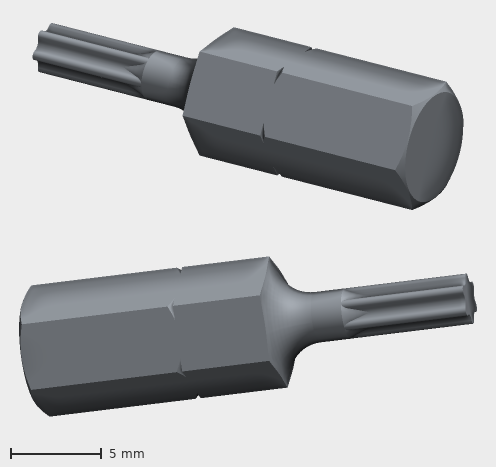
import cadquery as cq
import math


hex_sides = 6
total_length = 25.0
hex_across_flats = 6.35
hex_across_corners = hex_across_flats / math.cos(math.pi / hex_sides)
corner_radius = hex_across_corners / 2
shank_start = 11.0

end_chamfer_depth = 0.55
end_chamfer_angle = 30.0
end_chamfer_length = end_chamfer_depth * math.tan(math.radians(end_chamfer_angle))

notch_start = 16.0
notch_floor_radius = 3.35
notch_slope_angle = 45.0
groove_clearance = 1.0

neck_radius = 1.4
flare_radius = corner_radius - neck_radius
flare_start = shank_start - flare_radius

lobe_count = 6
star_end = 7.0
lobe_tip_radius = neck_radius
root_radius = 1.01
lobe_round = 0.28
runout_start = 5.5

lobe_center = lobe_tip_radius - lobe_round
half_pitch = math.pi / lobe_count
flute_round = (
    (lobe_center**2 + root_radius**2 - lobe_round**2 - 2 * lobe_center * root_radius * math.cos(half_pitch))
    / (2 * (lobe_round + lobe_center * math.cos(half_pitch) - root_radius))
)
flute_center = root_radius + flute_round


def polar(radius, angle):
    """Y and Z of a point on a circle about the X axis, at an angle from +Y."""
    return (radius * math.cos(angle), radius * math.sin(angle))


def revolve_about_x(outline):
    """Turn a closed (x, radius) outline around the X axis."""
    return outline.close().revolve(360, (0, 0, 0), (1, 0, 0))


def lobe_flute_joint(lobe_angle, side):
    """Point where a lobe tip runs tangent into the flute on its side (+1 or -1)."""
    lobe_y, lobe_z = polar(lobe_center, lobe_angle)
    flute_y, flute_z = polar(flute_center, lobe_angle + side * half_pitch)
    share = lobe_round / (lobe_round + flute_round)
    return (lobe_y + share * (flute_y - lobe_y), lobe_z + share * (flute_z - lobe_z))


def make_star():
    """Lobed star bar from the tip to the neck."""
    outline = cq.Workplane("YZ").moveTo(*lobe_flute_joint(0, -1))
    for index in range(lobe_count):
        lobe_angle = 2 * half_pitch * index
        next_lobe_angle = lobe_angle + 2 * half_pitch
        outline = outline.threePointArc(polar(lobe_tip_radius, lobe_angle), lobe_flute_joint(lobe_angle, 1))
        flute_root = polar(root_radius, lobe_angle + half_pitch)
        outline = outline.threePointArc(flute_root, lobe_flute_joint(next_lobe_angle, -1))
    return outline.close().extrude(star_end)


def make_runout():
    """Concave flare, tangent to the flute roots, that lifts the flute floors up to the neck."""
    runout_length = star_end - runout_start
    rise = neck_radius - root_radius
    arc_radius = (runout_length**2 + rise**2) / (2 * rise)
    half_sweep = math.asin(runout_length / arc_radius) / 2
    middle_x = runout_start + arc_radius * math.sin(half_sweep)
    middle_radius = root_radius + arc_radius * (1 - math.cos(half_sweep))
    return revolve_about_x(
        cq.Workplane("XY")
        .moveTo(runout_start, 0)
        .lineTo(runout_start, root_radius)
        .threePointArc((middle_x, middle_radius), (star_end, neck_radius))
        .lineTo(star_end, 0)
    )


def make_neck_and_shank():
    """Hexagonal bar trimmed to the turned profile of neck, flare and end chamfer."""
    arc_reach = flare_radius * math.sin(math.pi / 4)
    turned_profile = revolve_about_x(
        cq.Workplane("XY")
        .moveTo(star_end, 0)
        .lineTo(star_end, neck_radius)
        .lineTo(flare_start, neck_radius)
        .threePointArc(
            (flare_start + arc_reach, corner_radius - arc_reach),
            (shank_start, corner_radius),
        )
        .lineTo(total_length - end_chamfer_length, corner_radius)
        .lineTo(total_length, corner_radius - end_chamfer_depth)
        .lineTo(total_length, 0)
    )
    hex_bar = cq.Workplane("YZ").polygon(hex_sides, hex_across_corners).extrude(total_length)
    return turned_profile.intersect(hex_bar)


def make_notch_groove():
    """Turned groove with a square front wall and a sloping rear wall, reaching only the hex corners."""
    groove_top = corner_radius + groove_clearance
    groove_width = (groove_top - notch_floor_radius) * math.tan(math.radians(notch_slope_angle))
    return revolve_about_x(
        cq.Workplane("XY")
        .moveTo(notch_start, notch_floor_radius)
        .lineTo(notch_start, groove_top)
        .lineTo(notch_start + groove_width, groove_top)
    )


shank = make_neck_and_shank().cut(make_notch_groove())
result = shank.union(make_star().union(make_runout()))